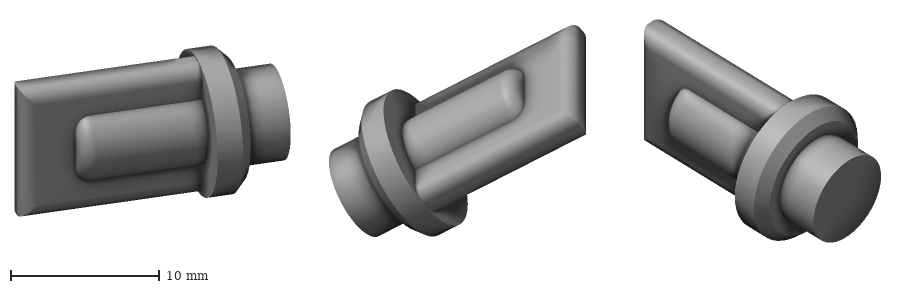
import cadquery as cq

flange_diameter = 10.15
flange_thickness = 2.53
flange_chamfer = 0.75

boss_diameter = 6.61
boss_length = 3.12

overall_length = 18.36
blade_length = overall_length - flange_thickness - boss_length
blade_thickness = 2.5
blade_height = 9.9
edge_radius = 1.01

pin_diameter = 5.58
pin_length = 8.9


def cylinder_along_y(diameter, start, length):
    """Cylinder on the Y axis that extends from start toward +Y."""
    return cq.Workplane("XZ", origin=(0, start, 0)).circle(diameter / 2).extrude(-length)


def make_flange():
    disc = cylinder_along_y(flange_diameter, 0, flange_thickness)
    return disc.faces(">Y").edges().chamfer(flange_chamfer)


def make_boss():
    return cylinder_along_y(boss_diameter, flange_thickness, boss_length)


def make_pin():
    pin = cylinder_along_y(pin_diameter, -pin_length, pin_length)
    return pin.faces("<Y").edges().fillet(edge_radius)


def make_blade():
    blade = cq.Workplane("XY").box(
        blade_thickness, blade_length, blade_height, centered=(True, False, True)
    )
    blade = blade.translate((0, -blade_length, 0))
    return blade.faces("<X or >X").edges("not >Y").fillet(edge_radius)


result = make_flange().union(make_boss()).union(make_pin()).union(make_blade())
result = result.translate((0, overall_length / 2 - flange_thickness - boss_length, 0))